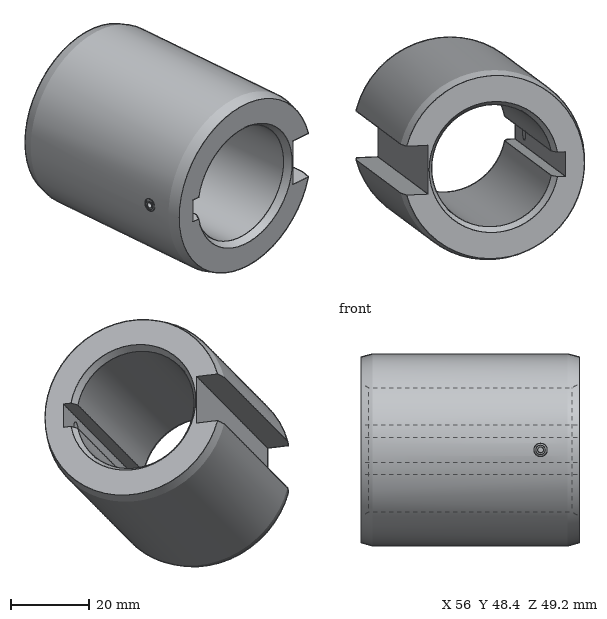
import cadquery as cq
import math

length = 56.0
outer_radius = 49.2125 / 2
bore_radius = 31.75 / 2
outer_chamfer_length = 3.0
outer_chamfer_depth = outer_chamfer_length * math.tan(math.radians(15))
bore_chamfer_length = 2.0
bore_chamfer_depth = bore_chamfer_length * math.tan(math.radians(30))

slot_width = 12.7
slot_floor = 17.3
keyway_width = slot_width / 2
keyway_floor = 18.8

screw_radius = 1.7
screw_end_radius = 1.2
screw_chamfer_width = screw_radius - screw_end_radius
screw_chamfer_depth = screw_chamfer_width * math.tan(math.radians(30))
screw_offset_from_end = 10.0
screw_x = length - screw_offset_from_end
screw_length = outer_radius - keyway_floor
socket_radius = 0.75
socket_depth = 1.5


def make_blank():
    """Revolve the wall section, chamfered at all four corners, about the X axis."""
    outer_end_radius = outer_radius - outer_chamfer_depth
    bore_end_radius = bore_radius + bore_chamfer_depth
    section = [
        (0, bore_end_radius),
        (0, outer_end_radius),
        (outer_chamfer_length, outer_radius),
        (length - outer_chamfer_length, outer_radius),
        (length, outer_end_radius),
        (length, bore_end_radius),
        (length - bore_chamfer_length, bore_radius),
        (bore_chamfer_length, bore_radius),
    ]
    return cq.Workplane("XZ").polyline(section).close().revolve(360, (0, 0, 0), (1, 0, 0))


def make_channel(y_start, y_end, width):
    """Full-length rectangular cutter, centred on z = 0, between two Y positions."""
    channel = cq.Workplane("XY").box(length, y_end - y_start, width, centered=(False, False, True))
    return channel.translate((0, y_start, 0))


def screw_plane():
    """Plane on the outer end of the screw, with its normal pointing into the sleeve (+Y)."""
    return cq.Workplane(cq.Plane(origin=(screw_x, -outer_radius, 0), xDir=(1, 0, 0), normal=(0, 1, 0)))


def make_sleeve():
    slot = make_channel(slot_floor, outer_radius, slot_width)
    keyway = make_channel(-keyway_floor, 0, keyway_width)
    screw_hole = screw_plane().circle(screw_radius).extrude(screw_length)
    return make_blank().cut(slot).cut(keyway).cut(screw_hole)


def make_set_screw():
    shank = screw_plane().circle(screw_radius).extrude(screw_length)
    shank = shank.faces("<Y").chamfer(screw_chamfer_depth, screw_chamfer_width)
    socket = screw_plane().circle(socket_radius).extrude(socket_depth)
    return shank.cut(socket)


sleeve = make_sleeve()
set_screw = make_set_screw()

result = cq.Compound.makeCompound([sleeve.val(), set_screw.val()])